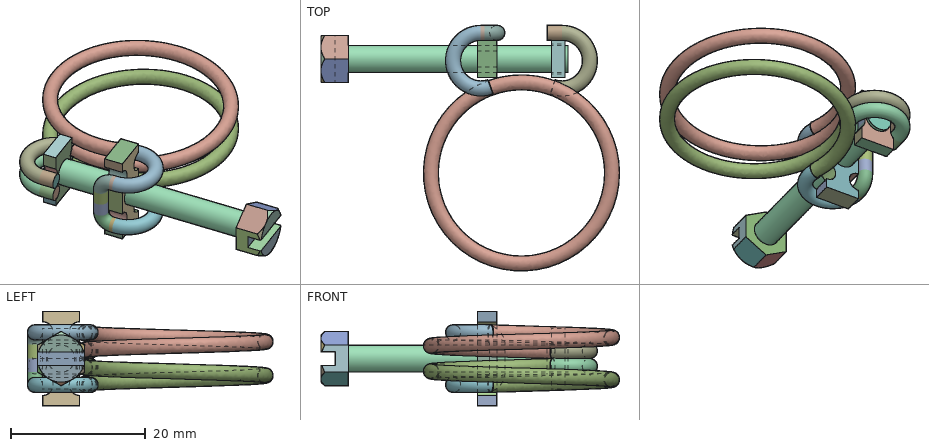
import cadquery as cq
import math


total_length_x = 44.25

wire_dia = 2.25
wire_r = wire_dia / 2

ring_r = 13.4
ring_low_z = wire_r
ring_high_z = 3.9

hook_r = 4.1
hook_x = 6.0
hook_y = 16.65
hook_tilt = math.degrees(math.atan2(hook_x, hook_y))
hook_top_y = hook_y + hook_r
ring_hook_end_x = 3.8

cross_leg_x = -3.6
cross_bend_r = 1.85

bar_height_y = 5.5
bar_y = hook_top_y - wire_r - bar_height_y / 2
near_bar_left_x = -6.55
near_bar_thickness = 2.9
near_bar_length_z = 14.0
far_bar_left_x = 4.42
far_bar_thickness = 2.05
far_bar_length_z = 8.95
near_groove_r = 1.55
far_groove_r = 1.7

screw_y = bar_y
screw_left_x = ring_r + wire_r - total_length_x
shank_dia = 4.03
shank_end_x = 6.9
head_length = 4.05
head_across_flats = 7.0
head_across_corners = head_across_flats / math.cos(math.radians(30))
head_chamfer_length = 0.58
head_face_dia = head_across_flats
slot_width = 2.0
slot_depth = 2.12


def mirrored_z(solid):
    return solid.mirror("XY")


def make_head():
    head = (
        cq.Workplane("YZ", origin=(screw_left_x, screw_y, 0))
        .polygon(6, head_across_corners)
        .extrude(head_length)
        .rotate((0, screw_y, 0), (1, screw_y, 0), 90)
    )
    corner_r = head_across_corners / 2
    corner_trim = (
        cq.Workplane("XY", origin=(screw_left_x, screw_y, 0))
        .lineTo(0, head_face_dia / 2)
        .lineTo(head_chamfer_length, corner_r)
        .lineTo(head_length, corner_r)
        .lineTo(head_length, 0)
        .close()
        .revolve(360, (0, 0, 0), (1, 0, 0))
    )
    slot = cq.Workplane("XY").box(
        slot_depth, head_across_corners, slot_width, centered=(False, True, True)
    ).translate((screw_left_x, screw_y, 0))
    return head.intersect(corner_trim).cut(slot)


def make_shank():
    shank_start_x = screw_left_x + head_length
    return (
        cq.Workplane("YZ", origin=(shank_start_x, screw_y, 0))
        .circle(shank_dia / 2)
        .extrude(shank_end_x - shank_start_x)
    )


def make_screw():
    return make_head().union(make_shank())


def make_bar(left_x, thickness, length_z):
    face = cq.Workplane("YZ", origin=(left_x, bar_y, 0))
    bar = face.rect(bar_height_y, length_z).extrude(thickness)
    screw_hole = face.circle(shank_dia / 2).extrude(thickness)
    return bar.cut(screw_hole)


def make_near_bar():
    bar = make_bar(near_bar_left_x, near_bar_thickness, near_bar_length_z)
    half_y = bar_height_y / 2
    groove_centres = [(y, z) for y in (-half_y, half_y) for z in (-ring_high_z, ring_high_z)]
    grooves = (
        cq.Workplane("YZ", origin=(near_bar_left_x, bar_y, 0))
        .pushPoints(groove_centres)
        .circle(near_groove_r)
        .extrude(near_bar_thickness)
    )
    return bar.cut(grooves)


def make_far_bar():
    bar = make_bar(far_bar_left_x, far_bar_thickness, far_bar_length_z)
    groove_y = bar_height_y / 2 + wire_r
    groove_length = 2 * (ring_low_z + far_groove_r)
    grooves = (
        cq.Workplane("YZ", origin=(far_bar_left_x, bar_y, 0))
        .pushPoints([(-groove_y, 0), (groove_y, 0)])
        .slot2D(groove_length, 2 * far_groove_r, 90)
        .extrude(far_bar_thickness)
    )
    return bar.cut(grooves)


def make_clip():
    """Two left hooks joined by a cross leg, bent from one piece of wire."""
    tilt = math.radians(hook_tilt)
    hook_end = cq.Vector(
        -hook_x + hook_r * math.sin(tilt), hook_y - hook_r * math.cos(tilt), ring_high_z
    )
    hook_side = cq.Vector(-hook_x - hook_r, hook_y, ring_high_z)
    hook_top = cq.Vector(-hook_x, hook_top_y, ring_high_z)
    bend_start = cq.Vector(cross_leg_x - cross_bend_r, hook_top_y, ring_high_z)
    bend_inset = cross_bend_r * (1 - math.cos(math.radians(45)))
    bend_middle = cq.Vector(cross_leg_x - bend_inset, hook_top_y, ring_high_z - bend_inset)
    leg_top = cq.Vector(cross_leg_x, hook_top_y, ring_high_z - cross_bend_r)
    leg_middle = cq.Vector(cross_leg_x, hook_top_y, 0)
    path = cq.Wire.assembleEdges([
        cq.Edge.makeThreePointArc(hook_end, hook_side, hook_top),
        cq.Edge.makeLine(hook_top, bend_start),
        cq.Edge.makeThreePointArc(bend_start, bend_middle, leg_top),
        cq.Edge.makeLine(leg_top, leg_middle),
    ])
    hook_end_direction = cq.Vector(-math.cos(tilt), -math.sin(tilt), 0)
    end_plane = cq.Plane(origin=hook_end, xDir=(0, 0, 1), normal=hook_end_direction)
    upper_half = cq.Workplane(end_plane).circle(wire_r).sweep(cq.Workplane(path))
    return upper_half.union(mirrored_z(upper_half))


def make_ring_coil():
    """Helix rising from the ring hook to the clip, slightly more than one turn."""
    start_angle = 90 - hook_tilt
    sweep_angle = 360 + 2 * hook_tilt
    rise = ring_high_z - ring_low_z
    slope = rise / math.radians(sweep_angle) / ring_r
    lean_angle = math.degrees(math.asin(wire_r * slope / ring_r))
    pitch = rise * 360 / sweep_angle
    path = cq.Wire.makeHelix(pitch, rise, ring_r)
    start_plane = cq.Plane(origin=(ring_r, 0, 0), xDir=(1, 0, 0), normal=(0, 1, slope))
    return (
        cq.Workplane(start_plane)
        .circle(wire_r)
        .sweep(cq.Workplane(path), isFrenet=True)
        .rotate((0, 0, 0), (0, 0, 1), start_angle - lean_angle)
        .translate((0, 0, ring_low_z))
    )


def make_ring_hook():
    tilt = math.radians(hook_tilt)
    hook_start = cq.Vector(
        hook_x - hook_r * math.sin(tilt), hook_y - hook_r * math.cos(tilt), ring_low_z
    )
    hook_side = cq.Vector(hook_x + hook_r, hook_y, ring_low_z)
    hook_top = cq.Vector(hook_x, hook_top_y, ring_low_z)
    hook_end = cq.Vector(ring_hook_end_x, hook_top_y, ring_low_z)
    path = cq.Wire.assembleEdges([
        cq.Edge.makeThreePointArc(hook_start, hook_side, hook_top),
        cq.Edge.makeLine(hook_top, hook_end),
    ])
    start_direction = cq.Vector(math.cos(tilt), -math.sin(tilt), 0)
    start_plane = cq.Plane(origin=hook_start, xDir=(0, 0, 1), normal=start_direction)
    return cq.Workplane(start_plane).circle(wire_r).sweep(cq.Workplane(path))


def make_ring():
    return make_ring_coil().union(make_ring_hook())


screw = make_screw()
bars = [make_near_bar(), make_far_bar()]
clip = make_clip()
upper_ring = make_ring()
rings = [upper_ring, mirrored_z(upper_ring)]

bodies = [screw, *bars, clip, *rings]
result = cq.Compound.makeCompound([body.solids().val() for body in bodies])